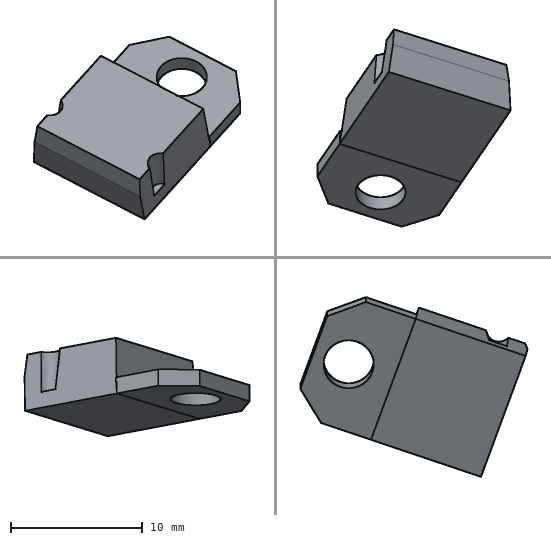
import cadquery as cq
import math

width = 10.2
length = 15.5
height = 4.5

draft_slope = math.tan(math.radians(5))
housing_rear = 9.1
parting_height = 2.75

tab_thickness = 1.27
corner_cut_x = 2.03
corner_cut_y = 2.39
hole_diameter = 3.8
hole_y = 12.7

notch_y = 2.4
notch_floor = tab_thickness
notch_floor_radius = 0.7
notch_depth = height - notch_floor
notch_top_radius = notch_floor_radius + notch_depth * draft_slope


def make_housing_block():
    """Drafted block: the side profile crossed with the front profile."""
    side_profile = (
        cq.Workplane("YZ")
        .moveTo(parting_height * draft_slope, 0)
        .lineTo(housing_rear, 0)
        .lineTo(housing_rear - height * draft_slope, height)
        .lineTo((height - parting_height) * draft_slope, height)
        .lineTo(0, parting_height)
        .close()
        .extrude(width / 2, both=True)
    )
    half_bottom = width / 2
    half_top = half_bottom - height * draft_slope
    front_profile = (
        cq.Workplane("XZ")
        .polyline([(-half_bottom, 0), (half_bottom, 0), (half_top, height), (-half_top, height)])
        .close()
        .extrude(-housing_rear)
    )
    return side_profile.intersect(front_profile)


def make_notch_cutter(x):
    """Upright cone, wider at the top, centred on a side edge."""
    return cq.Workplane(
        cq.Solid.makeCone(notch_floor_radius, notch_top_radius, notch_depth, cq.Vector(x, notch_y, notch_floor))
    )


def make_housing():
    """Housing with one notch in each side wall."""
    housing = make_housing_block()
    for x in (-width / 2, width / 2):
        housing = housing.cut(make_notch_cutter(x))
    return housing


def make_tab():
    """Flat tab with clipped rear corners and a hole, ending at the sloping rear wall of the housing."""
    half_width = width / 2
    tab_front = housing_rear - tab_thickness * draft_slope
    plate = (
        cq.Workplane("YZ")
        .polyline([(housing_rear, 0), (length, 0), (length, tab_thickness), (tab_front, tab_thickness)])
        .close()
        .extrude(half_width, both=True)
    )
    outline = (
        cq.Workplane("XY")
        .moveTo(-half_width, 0)
        .lineTo(half_width, 0)
        .lineTo(half_width, length - corner_cut_y)
        .lineTo(half_width - corner_cut_x, length)
        .lineTo(-half_width + corner_cut_x, length)
        .lineTo(-half_width, length - corner_cut_y)
        .close()
        .extrude(tab_thickness)
    )
    hole = cq.Workplane("XY").center(0, hole_y).circle(hole_diameter / 2).extrude(tab_thickness)
    return plate.intersect(outline).cut(hole)


housing = make_housing()
tab = make_tab()

result = cq.Compound.makeCompound([housing.solids().val(), tab.solids().val()])